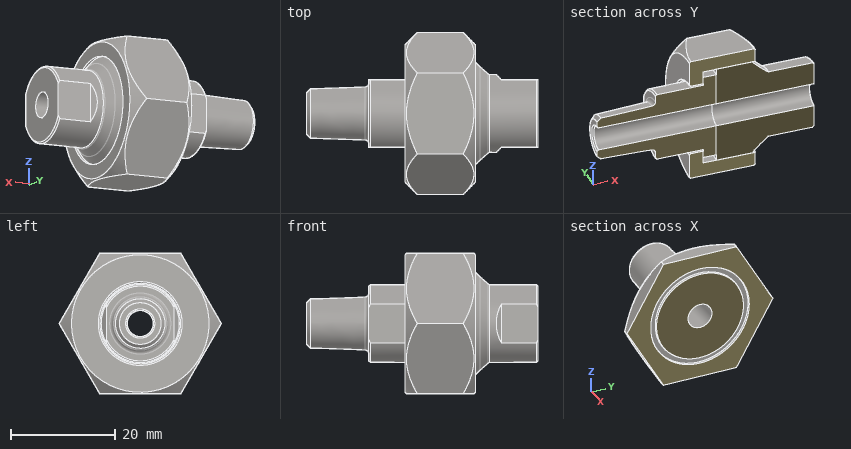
import cadquery as cq
import math

TOTAL_LENGTH = 44.5
BORE_DIAMETER = 5.0
BORE_CHAMFER = 0.3
BODY_RADIUS = 15.0 / 2
BODY_CHAMFER = 0.3

FLAT_HALF_WIDTH = 6.5
RAMP_LENGTH = BODY_RADIUS - FLAT_HALF_WIDTH

NUT_FRONT_X = 18.9
NUT_BACK_X = 32.5
NUT_ACROSS_FLATS = 27.0
NUT_ACROSS_CORNERS = NUT_ACROSS_FLATS / math.cos(math.pi / 6)
NUT_FACE_RADIUS = 13.2
BLANK_MARGIN = 0.45
NUT_HOLE_RADIUS = 15.5 / 2
NUT_HOLE_CHAMFER = 0.3
NUT_LIP_THICKNESS = 2.9
NUT_CAVITY_RADIUS = 20.9 / 2
NUT_LIP_X = NUT_FRONT_X + NUT_LIP_THICKNESS

TIP_RADIUS = 4.75
TIP_CHAMFER = 0.75
COLLAR_X = 11.95
SPIGOT_FILLET = 0.75
SPIGOT_END_RADIUS = 5.1
FLANGE_RADIUS = 18.65 / 2
FLANGE_THICKNESS = 2.65
JOINT_X = NUT_LIP_X + FLANGE_THICKNESS
MALE_FLAT_END_X = NUT_FRONT_X

SHOULDER_MID_X = 33.38
SHOULDER_MID_RADIUS = 18.0 / 2
SHOULDER_START_X = SHOULDER_MID_X - (NUT_CAVITY_RADIUS - SHOULDER_MID_RADIUS)
SHOULDER_FOOT_X = 34.9
SHOULDER_FOOT_RADIUS = 7.65
TAIL_X = 35.15
TAIL_FLAT_X = 37.45


def revolve_about_x(profile):
    """Turn a closed (x, radius) profile around the X axis."""
    return profile.close().revolve(360, (0, 0, 0), (1, 0, 0))


def side_cutters(outline):
    """Mirrored prisms in Z from an (x, y) outline on the +Y side."""
    cutter = cq.Workplane("XY").polyline(outline).close().extrude(NUT_ACROSS_FLATS / 2, both=True)
    return cutter, cutter.mirror("XZ")


def through_bore():
    radius = BORE_DIAMETER / 2
    mouth_radius = radius + BORE_CHAMFER
    return revolve_about_x(
        cq.Workplane("XY")
        .lineTo(0, mouth_radius)
        .lineTo(BORE_CHAMFER, radius)
        .lineTo(TOTAL_LENGTH, radius)
        .lineTo(TOTAL_LENGTH, 0)
    )


def make_nut():
    length = NUT_BACK_X - NUT_FRONT_X
    hexagon = (
        cq.Workplane("YZ", origin=(NUT_FRONT_X, 0, 0))
        .polygon(6, NUT_ACROSS_CORNERS)
        .extrude(length)
    )
    corner_radius = NUT_ACROSS_CORNERS / 2 + BLANK_MARGIN
    chamfer = corner_radius - NUT_FACE_RADIUS
    blank = cq.Workplane("YZ", origin=(NUT_FRONT_X, 0, 0)).circle(corner_radius).extrude(length)
    blank = blank.edges().chamfer(chamfer)
    opening = revolve_about_x(
        cq.Workplane("XY")
        .moveTo(NUT_FRONT_X, 0)
        .lineTo(NUT_FRONT_X, NUT_HOLE_RADIUS + NUT_HOLE_CHAMFER)
        .lineTo(NUT_FRONT_X + NUT_HOLE_CHAMFER, NUT_HOLE_RADIUS)
        .lineTo(NUT_LIP_X, NUT_HOLE_RADIUS)
        .lineTo(NUT_LIP_X, NUT_CAVITY_RADIUS)
        .lineTo(NUT_BACK_X, NUT_CAVITY_RADIUS)
        .lineTo(NUT_BACK_X, 0)
    )
    return hexagon.intersect(blank).cut(opening)


def make_male_fitting():
    fillet_start_x = COLLAR_X - SPIGOT_FILLET
    fillet_top_radius = SPIGOT_END_RADIUS + SPIGOT_FILLET
    fillet_sag = SPIGOT_FILLET * math.sqrt(0.5)
    fillet_middle = (fillet_start_x + fillet_sag, fillet_top_radius - fillet_sag)
    fitting = revolve_about_x(
        cq.Workplane("XY")
        .lineTo(0, TIP_RADIUS - TIP_CHAMFER)
        .lineTo(TIP_CHAMFER, TIP_RADIUS)
        .lineTo(fillet_start_x, SPIGOT_END_RADIUS)
        .threePointArc(fillet_middle, (COLLAR_X, fillet_top_radius))
        .lineTo(COLLAR_X, BODY_RADIUS - BODY_CHAMFER)
        .lineTo(COLLAR_X + BODY_CHAMFER, BODY_RADIUS)
        .lineTo(NUT_LIP_X, BODY_RADIUS)
        .lineTo(NUT_LIP_X, FLANGE_RADIUS)
        .lineTo(JOINT_X, FLANGE_RADIUS)
        .lineTo(JOINT_X, 0)
    )
    flat_outline = [
        (COLLAR_X, FLAT_HALF_WIDTH),
        (MALE_FLAT_END_X, FLAT_HALF_WIDTH),
        (MALE_FLAT_END_X + RAMP_LENGTH, BODY_RADIUS),
        (COLLAR_X, BODY_RADIUS),
    ]
    for cutter in side_cutters(flat_outline):
        fitting = fitting.cut(cutter)
    return fitting.cut(through_bore())


def make_female_fitting():
    fitting = revolve_about_x(
        cq.Workplane("XY")
        .moveTo(JOINT_X, 0)
        .lineTo(JOINT_X, NUT_CAVITY_RADIUS)
        .lineTo(SHOULDER_START_X, NUT_CAVITY_RADIUS)
        .lineTo(SHOULDER_MID_X, SHOULDER_MID_RADIUS)
        .lineTo(SHOULDER_FOOT_X, SHOULDER_FOOT_RADIUS)
        .lineTo(TAIL_X, BODY_RADIUS)
        .lineTo(TOTAL_LENGTH - BODY_CHAMFER, BODY_RADIUS)
        .lineTo(TOTAL_LENGTH, BODY_RADIUS - BODY_CHAMFER)
        .lineTo(TOTAL_LENGTH, 0)
    )
    flat_outline = [
        (TOTAL_LENGTH, FLAT_HALF_WIDTH),
        (TAIL_FLAT_X, FLAT_HALF_WIDTH),
        (TAIL_FLAT_X - RAMP_LENGTH, BODY_RADIUS),
        (TOTAL_LENGTH, BODY_RADIUS),
    ]
    for cutter in side_cutters(flat_outline):
        fitting = fitting.cut(cutter)
    return fitting.cut(through_bore())


nut = make_nut()
male_fitting = make_male_fitting()
female_fitting = make_female_fitting()

result = cq.Compound.makeCompound([nut.val(), male_fitting.val(), female_fitting.val()])